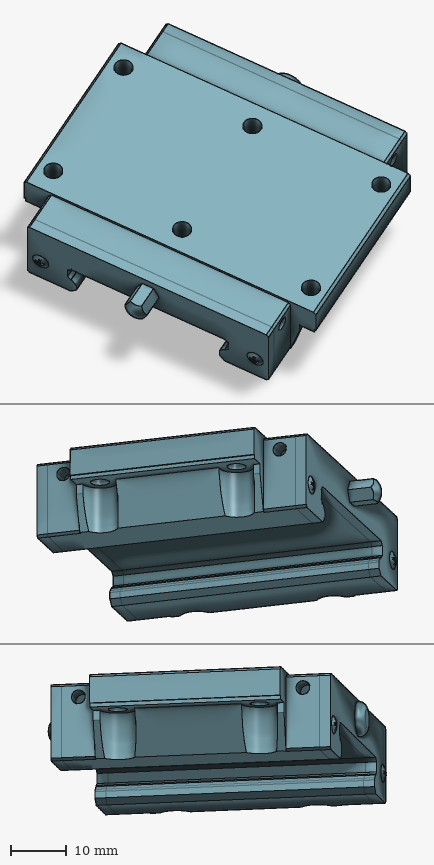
import cadquery as cq
import math

plate_length = 60.0
plate_width = 35.0
top_z = 14.5
flange_z = 8.5
plate_chamfer = 0.5
relief_height = 0.7
relief_depth = 0.3
skirt_top_x = 27.1

bar_length = 49.6
bar_top_z = 14.0
bar_chamfer = 0.45
cap_thickness = 2.0
bar_half_width = 25.65

roof_z = 6.7
roof_half = 15.8
groove_depth = 0.7
groove_bottom_z = 3.45
lip_half = 14.7
lip_edge_z = 2.55
lip_fillet = 0.6
lip_chamfer = 1.1

hole_x = 26.5
hole_y = 13.0
hole_dia = 3.4
screw_clearance_dia = 6.5
blind_hole_depth = 5.0
drill_tip_angle = 118.0

port_dia = 2.5
port_y = 20.6
port_z = 11.5
port_depth = 4.0

screw_x = 22.05
screw_z = 5.0
screw_head_dia = 3.3
screw_head_height = 0.6
cross_span = 1.8
cross_width = 0.45
cross_depth = 0.5

shaft_z = 10.5
hex_flats = 4.0
hex_length = 5.5
hex_dome_radius = 3.0
button_dia = 6.4
button_height = 1.65
button_fillet = 1.5


def along_y(section, y_from, y_to):
    """Extrude a closed XZ section between two Y positions."""
    plane = cq.Workplane("XZ", origin=(0, y_to, 0))
    return plane.polyline(section).close().extrude(y_to - y_from)


def mirrored(half_section):
    """Complete a half section, listed for positive X, about the YZ plane."""
    return half_section + [(-x, z) for x, z in reversed(half_section)]


def make_saddle():
    """Flanged plate on a skirt that tapers down to the bar width."""
    half = plate_length / 2
    section = mirrored([
        (half - plate_chamfer, top_z),
        (half, top_z - plate_chamfer),
        (half, flange_z + relief_height),
        (half - relief_depth, flange_z + relief_height),
        (half - relief_depth, flange_z),
        (skirt_top_x, flange_z),
        (bar_length / 2, 0),
    ])
    saddle = along_y(section, -plate_width / 2, plate_width / 2)
    trim_z = roof_z
    trim_x = bar_length / 2 + (skirt_top_x - bar_length / 2) * trim_z / flange_z
    trim_y = hole_y
    trim_width = plate_width / 2 - trim_y
    trim = cq.Workplane("XY").box(half - trim_x, trim_width, flange_z - trim_z, centered=(True, True, False))
    for side in (-1, 1):
        for end in (-1, 1):
            saddle = saddle.cut(trim.translate((
                side * (half + trim_x) / 2,
                end * (trim_y + trim_width / 2),
                trim_z,
            )))
    return saddle


def make_bar(y_from, y_to):
    """Bar section with chamfered long edges, used for the bar and for its caps."""
    half = bar_length / 2
    section = mirrored([
        (half - bar_chamfer, bar_top_z),
        (half, bar_top_z - bar_chamfer),
        (half, bar_chamfer),
        (half - bar_chamfer, 0),
    ])
    return along_y(section, y_from, y_to)


def make_guideway():
    """Opening along the full length of the bar and both caps."""
    groove_half = roof_half + groove_depth
    lip_step_z = lip_edge_z + (roof_half - lip_half)
    right_half = (
        cq.Workplane("XZ", origin=(0, bar_half_width, 0))
        .moveTo(0, roof_z)
        .lineTo(roof_half, roof_z)
        .lineTo(groove_half, roof_z - groove_depth)
        .lineTo(groove_half, groove_bottom_z + groove_depth)
        .lineTo(roof_half, groove_bottom_z)
        .lineTo(roof_half, lip_step_z)
        .lineTo(lip_half, lip_edge_z)
        .lineTo(lip_half, lip_chamfer)
        .lineTo(lip_half + lip_chamfer, 0)
        .lineTo(0, 0)
        .close()
        .extrude(2 * bar_half_width)
    )
    lip_edge = cq.selectors.NearestToPointSelector((lip_half, 0, lip_edge_z))
    right_half = right_half.edges("|Y").edges(lip_edge).fillet(lip_fillet)
    return right_half.union(right_half.mirror("YZ"))


def make_mounting_holes():
    """Corner holes through the flange and drilled blind holes on the centre line."""
    r = hole_dia / 2
    tip_height = r / math.tan(math.radians(drill_tip_angle / 2))
    blind = (
        cq.Workplane("XZ")
        .polyline([(0, 0), (r, 0), (r, -blind_hole_depth), (0, -blind_hole_depth - tip_height)])
        .close()
        .revolve(360, (0, 0), (0, 1))
    )
    cutters = cq.Workplane("XY")
    for y in (-hole_y, hole_y):
        cutters = cutters.union(blind.translate((0, y, top_z)))
        for x in (-hole_x, hole_x):
            hole = cq.Workplane("XY").circle(r).extrude(top_z)
            clearance = cq.Workplane("XY").circle(screw_clearance_dia / 2).extrude(flange_z)
            cutters = cutters.union(hole.union(clearance).translate((x, y, 0)))
    return cutters


def make_ports():
    """Blind lubrication holes in both sides of the bar."""
    half = bar_length / 2
    cutters = cq.Workplane("XY")
    for start_x in (-half, half - port_depth):
        for y in (-port_y, port_y):
            port = cq.Workplane("YZ", origin=(start_x, y, port_z)).circle(port_dia / 2)
            cutters = cutters.union(port.extrude(port_depth))
    return cutters


def make_screw_head():
    """Domed cross-recessed head standing on the XY plane."""
    r = screw_head_dia / 2
    sphere_radius = (r ** 2 + screw_head_height ** 2) / (2 * screw_head_height)
    dome = cq.Workplane("XY").sphere(sphere_radius).translate((0, 0, screw_head_height - sphere_radius))
    head = cq.Workplane("XY").circle(r).extrude(screw_head_height).intersect(dome)
    for size_x, size_y in ((cross_span, cross_width), (cross_width, cross_span)):
        slot = cq.Workplane("XY").box(size_x, size_y, cross_depth, centered=(True, True, False))
        head = head.cut(slot.translate((0, 0, screw_head_height - cross_depth)))
    return head


def make_hex_stub():
    """Hexagonal stub with a spherical tip, standing on the XY plane."""
    across_corners = hex_flats / math.cos(math.pi / 6)
    stub = cq.Workplane("XY").polygon(6, across_corners).extrude(hex_length)
    dome_z = hex_length - hex_dome_radius
    shank = cq.Workplane("XY").circle(hex_dome_radius).extrude(dome_z)
    tip = cq.Workplane("XY").sphere(hex_dome_radius).translate((0, 0, dome_z))
    return stub.intersect(shank.union(tip))


def make_button():
    """Round button with a filleted rim, standing on the XY plane."""
    button = cq.Workplane("XY").circle(button_dia / 2).extrude(button_height)
    return button.faces(">Z").edges().fillet(button_fillet)


def on_end(feature, end, x, z):
    """Stand a feature built on the XY plane on the front (-1) or rear (+1) cap."""
    turned = feature.rotate((0, 0, 0), (1, 0, 0), -90 * end)
    return turned.translate((x, end * bar_half_width, z))


cap_y = bar_half_width - cap_thickness
guideway = make_guideway()
cutters = guideway.union(make_mounting_holes()).union(make_ports())
screw_head = make_screw_head()

result = make_bar(-cap_y, cap_y).union(make_saddle()).cut(cutters)
for end in (-1, 1):
    cap = make_bar(*sorted((end * cap_y, end * bar_half_width))).cut(guideway)
    result = result.union(cap, clean=False)
    for x in (-screw_x, screw_x):
        result = result.union(on_end(screw_head, end, x, screw_z), clean=False)
result = result.union(on_end(make_hex_stub(), -1, 0, shaft_z), clean=False)
result = result.union(on_end(make_button(), 1, 0, shaft_z), clean=False)